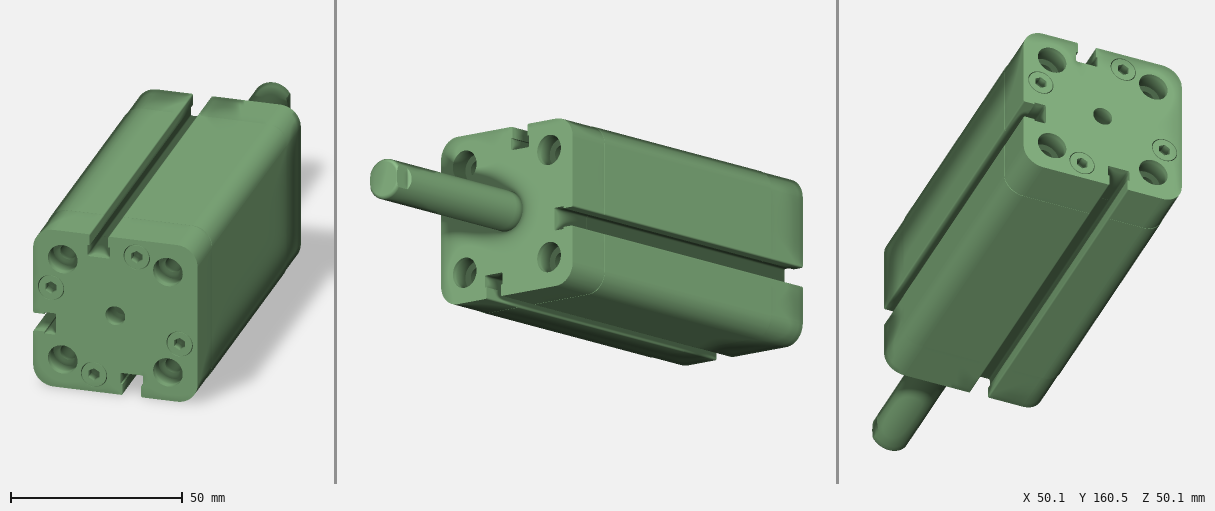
import cadquery as cq
import math

cap_length = 14.5
tube_length = 75.5
rod_length = 56.0
body_length = 2 * cap_length + tube_length
rear_y = 0.0
front_y = rear_y + body_length

cap_width = 50.0
cap_corner_radius = 6.25
tube_width = 50.1
tube_corner_radius = 6.0

slot_offset = 5.0
slot_mouth_width = 5.6
slot_groove_width = 6.8
slot_depth = 7.0
slot_lip = 3.5
slot_edge_radius = 0.45
slot_angles = (0, 90, 180)

mount_offset = 16.0
mount_diameter = 4.92
mount_bore_diameter = 9.0
mount_bore_depth = 5.7

screw_count = 4
screw_across = 6.5
screw_out = 19.55
screw_bore_diameter = 8.0
screw_bore_depth = 4.0
screw_head_diameter = 7.5
socket_across_flats = 3.4
socket_depth = 3.0

centre_diameter = 6.0
centre_depth = 8.0

rod_diameter = 12.0
rod_tip_radius = 1.0
flat_across = 10.2
flat_length = 4.7


def cylinder(x, z, diameter, start_y, length):
    """Round bar parallel to Y, running toward +Y from start_y."""
    return cq.Workplane(cq.Solid.makeCylinder(
        diameter / 2, length, cq.Vector(x, start_y, z), cq.Vector(0, 1, 0)))


def turned(point, degrees):
    """Turn an (x, z) point from +X toward +Z about the body axis."""
    angle = math.radians(degrees)
    x, z = point
    return (x * math.cos(angle) - z * math.sin(angle),
            x * math.sin(angle) + z * math.cos(angle))


def slot_cutter(width, start_y, length):
    """Slot along Y in the +Z face of a block, with rounded mouth edges and floor corners."""
    top = width / 2
    half_mouth = slot_mouth_width / 2
    half_groove = slot_groove_width / 2
    radius = slot_edge_radius
    inset = radius * (1 - math.sqrt(0.5))
    floor = top - slot_depth
    lip = top - slot_lip
    outline = (
        cq.Workplane("XZ")
        .moveTo(-half_mouth - radius, top)
        .threePointArc((-half_mouth - inset, top - inset), (-half_mouth, top - radius))
        .lineTo(-half_mouth, lip)
        .lineTo(-half_groove, lip)
        .lineTo(-half_groove, floor + radius)
        .threePointArc((-half_groove + inset, floor + inset), (-half_groove + radius, floor))
        .lineTo(half_groove - radius, floor)
        .threePointArc((half_groove - inset, floor + inset), (half_groove, floor + radius))
        .lineTo(half_groove, lip)
        .lineTo(half_mouth, lip)
        .lineTo(half_mouth, top - radius)
        .threePointArc((half_mouth + inset, top - inset), (half_mouth + radius, top))
        .close()
    )
    return outline.extrude(-length).translate((-slot_offset, start_y, 0))


def slotted_block(width, corner_radius, start_y, length):
    """Square length of the body with rounded corners and a slot in three of its sides."""
    block = cq.Workplane("XY").box(width, length, width)
    block = block.edges("|Y").fillet(corner_radius).translate((0, start_y + length / 2, 0))
    slot = slot_cutter(width, start_y, length)
    for angle in slot_angles:
        block = block.cut(slot.rotate((0, 0, 0), (0, 1, 0), -angle))
    return block


def make_body():
    """Tube between two end caps."""
    body = slotted_block(tube_width, tube_corner_radius, rear_y + cap_length, tube_length)
    for start_y in (rear_y, front_y - cap_length):
        body = body.union(slotted_block(cap_width, cap_corner_radius, start_y, cap_length))
    return body


def cut_mounting_holes(body):
    """Through holes at the corners, counterbored from both ends."""
    for x in (-mount_offset, mount_offset):
        for z in (-mount_offset, mount_offset):
            body = body.cut(cylinder(x, z, mount_diameter, rear_y, body_length))
            for start_y in (rear_y, front_y - mount_bore_depth):
                body = body.cut(cylinder(x, z, mount_bore_diameter, start_y, mount_bore_depth))
    return body


def add_screw(body, x, z):
    """Counterbore in the rear face holding a flush screw head with a hexagon socket."""
    bore = cylinder(x, z, screw_bore_diameter, rear_y, screw_bore_depth)
    head = cylinder(x, z, screw_head_diameter, rear_y, screw_bore_depth)
    socket_corners = socket_across_flats / math.cos(math.pi / 6)
    socket = cq.Workplane("XZ").polygon(6, socket_corners).extrude(-socket_depth)
    socket = socket.rotate((0, 0, 0), (0, 1, 0), 90).translate((x, rear_y, z))
    return body.cut(bore).union(head.cut(socket))


def make_rod():
    """Rod rooted in the front cap, with a rounded tip and two wrench flats running out at 45 degrees."""
    radius = rod_diameter / 2
    tip_y = front_y + rod_length
    start_y = front_y - cap_length
    rod = cylinder(0, 0, rod_diameter, start_y, tip_y - start_y)
    rod = rod.faces(">Y").edges().fillet(rod_tip_radius)
    flat_cut = radius - flat_across / 2
    flat_profile = [
        (flat_across / 2, tip_y),
        (flat_across / 2, tip_y - flat_length),
        (radius, tip_y - flat_length - flat_cut),
        (radius, tip_y),
    ]
    flat = cq.Workplane("XY").polyline(flat_profile).close().extrude(radius, both=True)
    return rod.cut(flat).cut(flat.mirror("YZ"))


result = cut_mounting_holes(make_body())
result = result.cut(cylinder(0, 0, centre_diameter, rear_y, centre_depth))
for index in range(screw_count):
    screw_x, screw_z = turned((screw_across, screw_out), index * 360 / screw_count)
    result = add_screw(result, screw_x, screw_z)
result = result.union(make_rod())